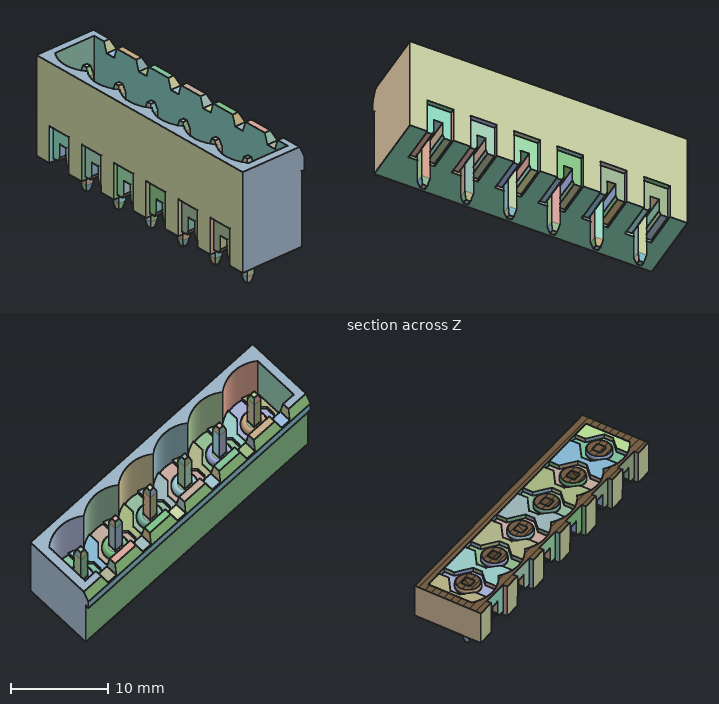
import cadquery as cq

LENGTH = 32.0
BODY_DEPTH = 8.13
BODY_HEIGHT = 12.0
POLES = 6
PITCH = 5.0
PIN_Y = 3.8
POLE_XS = [(i - (POLES - 1) / 2) * PITCH for i in range(POLES)]

LIP_BACK_Y = 8.5
LIP_HEIGHT = 3.0
LIP_CHAMFER_DEPTH = 0.67
LIP_CHAMFER_HEIGHT = 1.4

END_WALL = 1.0
FLOOR_Z = 4.0
CAVITY_BACK_Y = 7.05
CUSP_Y = 1.73
SCALLOP_Y = 0.85

NOTCH_TOP_WIDTH = 2.0
NOTCH_BOTTOM_WIDTH = 1.2
NOTCH_DEPTH = 1.25

KEYHOLE_DEPTH = 0.5
KEYHOLE_HALF_WIDTH = 2.15
KEYHOLE_FRONT_HALF_WIDTH = 1.0
KEYHOLE_BACK_HALF_WIDTH = 0.5
KEYHOLE_FRONT_Y = 2.35
KEYHOLE_SIDE_FRONT_Y = 3.5
KEYHOLE_SIDE_BACK_Y = 4.58
KEYHOLE_BACK_Y = 5.82

COLLAR_DIAMETER = 2.8
COLLAR_TOP_DIAMETER = 1.6
COLLAR_ROUND = (COLLAR_DIAMETER - COLLAR_TOP_DIAMETER) / 2
COLLAR_STRAIGHT_HEIGHT = 0.2
COLLAR_HEIGHT = COLLAR_STRAIGHT_HEIGHT + COLLAR_ROUND

RECESS_WIDTH = 3.0
RECESS_HEIGHT = 4.4
RECESS_DEPTH = 0.5
UNDERSIDE_DEPTH = 0.4
SLOT_HEIGHT = 2.5
SLOT_FLARE_WIDTH = 0.2
SLOT_FLARE_HEIGHT = 0.48

PIN_SIZE = 1.0
PIN_TIP_SIZE = 0.55
PIN_TAPER = 1.0
PIN_BOTTOM_Z = -4.0
PIN_TOP_Z = 10.8

SLOT_BACK_Y = PIN_Y + PIN_SIZE / 2
KEYHOLE_FLOOR_Z = FLOOR_Z - KEYHOLE_DEPTH


def box(x, width, y_range, z_range):
    """Box centred at x, spanning the given Y and Z ranges."""
    depth = y_range[1] - y_range[0]
    height = z_range[1] - z_range[0]
    corner = cq.Vector(x - width / 2, y_range[0], z_range[0])
    return cq.Workplane(cq.Solid.makeBox(width, depth, height, corner))


def make_body():
    """Side profile with the chamfered lip, extruded along the row."""
    lip_bottom_z = BODY_HEIGHT - LIP_HEIGHT
    profile = [
        (0, 0),
        (BODY_DEPTH, 0),
        (BODY_DEPTH, lip_bottom_z),
        (LIP_BACK_Y, lip_bottom_z),
        (LIP_BACK_Y, BODY_HEIGHT - LIP_CHAMFER_HEIGHT),
        (LIP_BACK_Y - LIP_CHAMFER_DEPTH, BODY_HEIGHT),
        (0, BODY_HEIGHT),
    ]
    return cq.Workplane("YZ").polyline(profile).close().extrude(LENGTH / 2, both=True)


def make_cavity(bottom_z):
    """Cavity from bottom_z to the top, with one scalloped arc per pole along its front."""
    side_x = LENGTH / 2 - END_WALL
    outline = (
        cq.Workplane("XY", origin=(0, 0, bottom_z))
        .moveTo(side_x, CAVITY_BACK_Y)
        .lineTo(-side_x, CAVITY_BACK_Y)
        .lineTo(-side_x, CUSP_Y)
    )
    for x in POLE_XS:
        arc_end_x = side_x if x == POLE_XS[-1] else x + PITCH / 2
        outline = outline.threePointArc((x, SCALLOP_Y), (arc_end_x, CUSP_Y))
    return outline.close().extrude(BODY_HEIGHT - bottom_z)


def make_keyhole(x):
    """Keyhole pocket, open towards the front and back walls of the cavity."""
    right_side = [
        (KEYHOLE_FRONT_HALF_WIDTH, 0),
        (KEYHOLE_FRONT_HALF_WIDTH, KEYHOLE_FRONT_Y),
        (KEYHOLE_HALF_WIDTH, KEYHOLE_SIDE_FRONT_Y),
        (KEYHOLE_HALF_WIDTH, KEYHOLE_SIDE_BACK_Y),
        (KEYHOLE_BACK_HALF_WIDTH, KEYHOLE_BACK_Y),
        (KEYHOLE_BACK_HALF_WIDTH, CAVITY_BACK_Y),
    ]
    left_side = [(-half_width, y) for half_width, y in reversed(right_side)]
    outline = cq.Workplane("XY", origin=(x, 0, KEYHOLE_FLOOR_Z)).polyline(right_side + left_side)
    return outline.close().extrude(KEYHOLE_DEPTH)


def make_collar(x):
    """Round collar with a rounded top edge, standing on the keyhole floor."""
    collar = cq.Workplane("XY", origin=(x, PIN_Y, KEYHOLE_FLOOR_Z))
    return collar.circle(COLLAR_DIAMETER / 2).extrude(COLLAR_HEIGHT).faces(">Z").edges().fillet(COLLAR_ROUND)


def make_notch(x):
    """Notch with sloping sides through the back wall and its lip."""
    bottom_z = BODY_HEIGHT - NOTCH_DEPTH
    profile = [
        (-NOTCH_TOP_WIDTH / 2, BODY_HEIGHT),
        (-NOTCH_BOTTOM_WIDTH / 2, bottom_z),
        (NOTCH_BOTTOM_WIDTH / 2, bottom_z),
        (NOTCH_TOP_WIDTH / 2, BODY_HEIGHT),
    ]
    plane = cq.Workplane("XZ", origin=(x, CAVITY_BACK_Y, 0))
    return plane.polyline(profile).close().extrude(-(LIP_BACK_Y - CAVITY_BACK_Y))


def make_slot(x):
    """Slot that runs from the front back to the pin, flared where it meets the underside recess."""
    flare_half_width = PIN_SIZE / 2 + SLOT_FLARE_WIDTH
    flare_top_z = UNDERSIDE_DEPTH + SLOT_FLARE_HEIGHT
    right_side = [
        (flare_half_width, UNDERSIDE_DEPTH),
        (PIN_SIZE / 2, flare_top_z),
        (PIN_SIZE / 2, SLOT_HEIGHT),
    ]
    left_side = [(-half_width, z) for half_width, z in reversed(right_side)]
    plane = cq.Workplane("XZ", origin=(x, 0, 0))
    return plane.polyline(right_side + left_side).close().extrude(-SLOT_BACK_Y)


def make_pin(x):
    """Square pin with a tapered tip at each end."""
    shaft_bottom_z = PIN_BOTTOM_Z + PIN_TAPER
    shaft_top_z = PIN_TOP_Z - PIN_TAPER
    y_range = (PIN_Y - PIN_SIZE / 2, PIN_Y + PIN_SIZE / 2)
    pin = box(x, PIN_SIZE, y_range, (shaft_bottom_z, shaft_top_z))
    for shaft_end_z, taper in ((shaft_top_z, PIN_TAPER), (shaft_bottom_z, -PIN_TAPER)):
        tip = (
            cq.Workplane("XY", origin=(x, PIN_Y, shaft_end_z))
            .rect(PIN_SIZE, PIN_SIZE)
            .workplane(offset=taper)
            .rect(PIN_TIP_SIZE, PIN_TIP_SIZE)
            .loft()
        )
        pin = pin.union(tip)
    return pin


def make_housing(pins):
    """Housing with its cavity, collars, notches, recesses and a matching hole for each pin."""
    housing = make_body().cut(make_cavity(FLOOR_Z))
    cavity_column = make_cavity(KEYHOLE_FLOOR_Z)
    for x, pin in zip(POLE_XS, pins):
        housing = housing.cut(make_keyhole(x).intersect(cavity_column))
        housing = housing.union(make_collar(x))
        housing = housing.cut(make_notch(x))
        housing = housing.cut(box(x, RECESS_WIDTH, (0, RECESS_DEPTH), (0, RECESS_HEIGHT)))
        housing = housing.cut(box(x, RECESS_WIDTH, (0, SLOT_BACK_Y), (0, UNDERSIDE_DEPTH)))
        housing = housing.cut(make_slot(x))
        housing = housing.cut(pin)
    return housing


pins = [make_pin(x) for x in POLE_XS]
housing = make_housing(pins)

result = cq.Compound.makeCompound([housing.val(), *[pin.val() for pin in pins]])